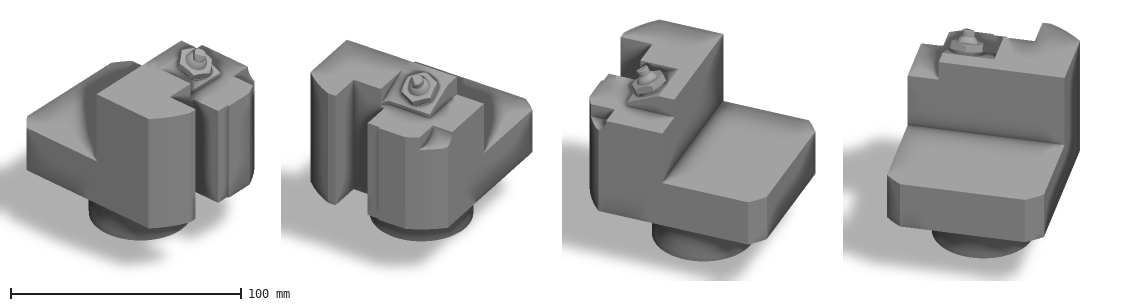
import cadquery as cq
import math

LEFT, RIGHT = -41.0, 45.5
HALF_WIDTH = 70.0 / 2
TURNED_RADIUS = 49.6
BASE_HEIGHT = 22.0
TOP = 56.9
STEP_X = 5.1
SHANK_DIAMETER = 45.0
SHANK_LENGTH = 24.0

FLOOR = 47.7
SHOULDER_Y = 21.1
POCKET_Y = -1.9
POCKET_X = 27.6
POCKET_CORNER_RADIUS = 2.6
SEAT_X = 12.6
SEAT_TILT = 25.0

SLOT_X = 30.55
SLOT_Y_MIN, SLOT_Y_MAX = -15.85, 0.0
RELIEF_X = 44.6
RELIEF_Y = 6.1
GROOVE_DIAMETER = 12.6
GROOVE_X = 31.4
GROOVE_Y = 25.2

SCREW_ALONG_SEAT = 7.75
SCREW_Y = 12.0
WASHER_DIAMETER = 14.0
WASHER_HEIGHT = 0.3
NECK_DIAMETER = 12.6
NUT_FLATS = 14.0
NUT_BOTTOM, NUT_TOP = 1.7, 4.7
NUT_TURN = 7.0
NUT_CHAMFER_ANGLE = 20.0
DOME_RADIUS = 4.75
DOME_HEIGHT = 2.7
DOME_MIDDLE_RADIUS = 4.1
PIN_DIAMETER = 5.6
PIN_LENGTH = 2.9
PIN_CHAMFER = 0.35
PIN_FLATS = [(1.15, 32.0, -45.0), (2.4, 0.0, -138.0)]



def box(x, y, z):
    """Box between the (low, high) limits given for each axis."""
    size = [high - low for low, high in (x, y, z)]
    return cq.Workplane("XY").box(*size, centered=False).translate((x[0], y[0], z[0]))


def make_block():
    """L-shaped block with turned corners and a round shank."""
    full_width = (-HALF_WIDTH, HALF_WIDTH)
    block = box((LEFT, RIGHT), full_width, (0, BASE_HEIGHT))
    block = block.union(box((STEP_X, RIGHT), full_width, (0, TOP)))
    block = block.intersect(cq.Workplane("XY").circle(TURNED_RADIUS).extrude(TOP))
    shank = cq.Workplane("XY").circle(SHANK_DIAMETER / 2).extrude(-SHANK_LENGTH)
    return block.union(shank)


def make_clamping_cut():
    """Flat lowered area plus the wedge above the inclined seat."""
    shoulder = box((STEP_X, RIGHT), (SHOULDER_Y, HALF_WIDTH), (FLOOR, TOP))
    pocket = box((POCKET_X, RIGHT), (POCKET_Y, SHOULDER_Y), (FLOOR, TOP))
    pocket = pocket.edges("|Z and <X and <Y").fillet(POCKET_CORNER_RADIUS)
    wedge_drop = (SLOT_X - SEAT_X) * math.tan(math.radians(SEAT_TILT))
    wedge = (
        cq.Workplane("XZ", origin=(0, SHOULDER_Y, 0))
        .polyline([(SEAT_X, TOP), (SLOT_X, TOP), (SLOT_X, TOP - wedge_drop)])
        .close()
        .extrude(SHOULDER_Y - POCKET_Y)
    )
    return shoulder.union(pocket).union(wedge)


def make_side_cuts():
    """Through slot for the tool, shallow relief beside it and corner groove."""
    slot = box((SLOT_X, RIGHT), (SLOT_Y_MIN, SLOT_Y_MAX), (0, TOP))
    relief = box((RELIEF_X, RIGHT), (SLOT_Y_MAX, RELIEF_Y), (0, TOP))
    radius = GROOVE_DIAMETER / 2
    center_x = GROOVE_X + radius
    diagonal = radius * math.sqrt(0.5)
    groove = (
        cq.Workplane("XZ", origin=(0, HALF_WIDTH, 0))
        .moveTo(GROOVE_X, FLOOR)
        .threePointArc((center_x - diagonal, FLOOR - diagonal), (center_x, FLOOR - radius))
        .lineTo(RIGHT, FLOOR - radius)
        .lineTo(RIGHT, FLOOR)
        .close()
        .extrude(HALF_WIDTH - GROOVE_Y)
    )
    return slot.union(relief).union(groove)


def make_nut():
    """Hexagon nut, chamfered on top down to its across-flats circle."""
    corner_radius = NUT_FLATS / 2 / math.cos(math.pi / 6)
    drop = (corner_radius - NUT_FLATS / 2) * math.tan(math.radians(NUT_CHAMFER_ANGLE))
    nut = (
        cq.Workplane("XY", origin=(0, 0, NUT_BOTTOM))
        .polygon(6, 2 * corner_radius)
        .extrude(NUT_TOP - NUT_BOTTOM)
        .rotate((0, 0, 0), (0, 0, 1), NUT_TURN)
    )
    envelope = (
        cq.Workplane("XZ")
        .moveTo(0, NUT_BOTTOM)
        .lineTo(corner_radius, NUT_BOTTOM)
        .lineTo(corner_radius, NUT_TOP - drop)
        .lineTo(NUT_FLATS / 2, NUT_TOP)
        .lineTo(0, NUT_TOP)
        .close()
        .revolve(360, (0, 0), (0, 1))
    )
    return nut.intersect(envelope)


def make_screw():
    """Washer, nut, domed collar and flatted pin, upright with the seat at Z = 0."""
    pin_radius = PIN_DIAMETER / 2
    dome_top = NUT_TOP + DOME_HEIGHT
    washer = cq.Workplane("XY").circle(WASHER_DIAMETER / 2).extrude(WASHER_HEIGHT)
    neck = cq.Workplane("XY").circle(NECK_DIAMETER / 2).extrude(NUT_BOTTOM)
    dome = (
        cq.Workplane("XZ")
        .moveTo(0, NUT_TOP)
        .lineTo(DOME_RADIUS, NUT_TOP)
        .threePointArc((DOME_MIDDLE_RADIUS, NUT_TOP + DOME_HEIGHT / 2), (pin_radius, dome_top))
        .lineTo(0, dome_top)
        .close()
        .revolve(360, (0, 0), (0, 1))
    )
    pin = cq.Workplane("XY", origin=(0, 0, dome_top)).circle(pin_radius).extrude(PIN_LENGTH)
    pin = pin.faces(">Z").chamfer(PIN_CHAMFER)
    for offset, slope, direction in PIN_FLATS:
        flat = box((0, PIN_DIAMETER), (-PIN_DIAMETER, PIN_DIAMETER), (-PIN_DIAMETER, PIN_DIAMETER))
        flat = flat.rotate((0, 0, 0), (0, 1, 0), -slope)
        flat = flat.translate((offset, 0, dome_top + PIN_LENGTH))
        pin = pin.cut(flat.rotate((0, 0, 0), (0, 0, 1), direction))
    return washer.union(neck).union(make_nut()).union(dome).union(pin)


def place_on_seat(screw):
    """Tilt the screw square to the inclined seat and move it into place."""
    tilt = math.radians(SEAT_TILT)
    seat_x = SEAT_X + SCREW_ALONG_SEAT * math.cos(tilt)
    seat_z = TOP - SCREW_ALONG_SEAT * math.sin(tilt)
    return screw.rotate((0, 0, 0), (0, 1, 0), SEAT_TILT).translate((seat_x, SCREW_Y, seat_z))


body = make_block().cut(make_clamping_cut()).cut(make_side_cuts())
result = body.union(place_on_seat(make_screw()))